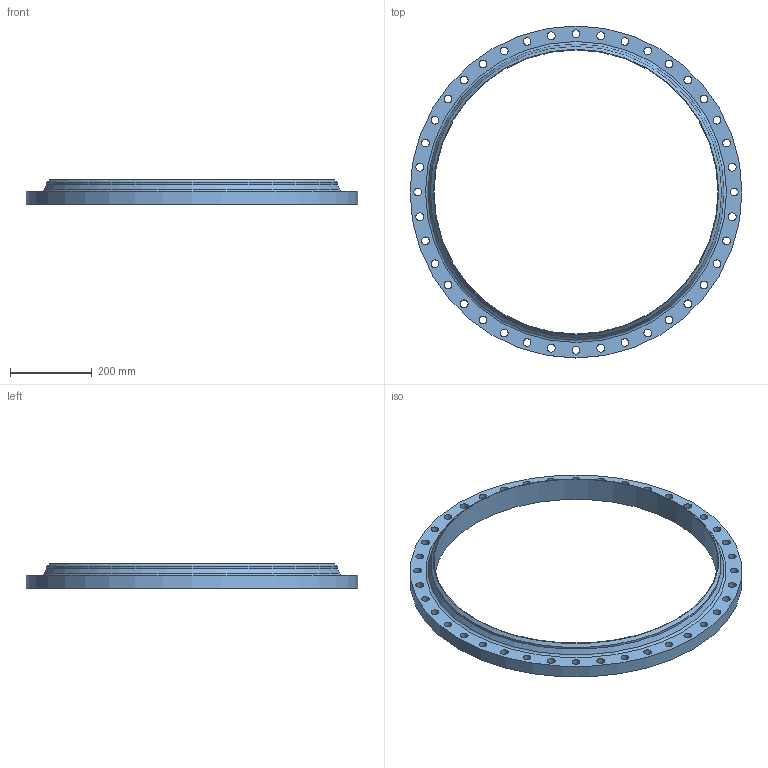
import cadquery as cq
import math

flange_diameter = 812.8
flange_thickness = 31.75
overall_height = 60.45

bolt_circle_diameter = 774.7
bolt_hole_diameter = 19.05
bolt_hole_count = 40

pipe_diameter = 712.0
pipe_wall = 8.2
bevel_land = 1.6
bevel_angle = 42.0
straight_bottom = 48.0
taper_angle = 26.5
hub_base_fillet = 7.0

flange_radius = flange_diameter / 2
pipe_radius = pipe_diameter / 2
bore_radius = pipe_radius - pipe_wall
land_radius = bore_radius + bevel_land
bevel_height = (pipe_radius - land_radius) / math.tan(math.radians(bevel_angle))
taper_height = straight_bottom - flange_thickness
hub_base_radius = pipe_radius + taper_height * math.tan(math.radians(taper_angle))


def make_hub_flange():
    """Revolve the flange ring together with its tapered welding hub."""
    profile = (
        cq.Workplane("XZ")
        .moveTo(bore_radius, 0)
        .lineTo(flange_radius, 0)
        .lineTo(flange_radius, flange_thickness)
        .lineTo(hub_base_radius, flange_thickness)
        .lineTo(pipe_radius, straight_bottom)
        .lineTo(pipe_radius, overall_height - bevel_height)
        .lineTo(land_radius, overall_height)
        .lineTo(bore_radius, overall_height)
        .close()
    )
    return profile.revolve(360, (0, 0, 0), (0, 1, 0))


def round_hub_base(body):
    """Fillet the inside corner where the hub meets the flange face."""
    corner = cq.selectors.RadiusNthSelector(-2)
    return body.edges("%CIRCLE").edges(corner).fillet(hub_base_fillet)


def make_bolt_holes():
    """Through holes evenly spaced on the bolt circle, the first on +X."""
    return (
        cq.Workplane("XY")
        .polarArray(bolt_circle_diameter / 2, 0, 360, bolt_hole_count)
        .circle(bolt_hole_diameter / 2)
        .extrude(flange_thickness)
    )


result = round_hub_base(make_hub_flange()).cut(make_bolt_holes())